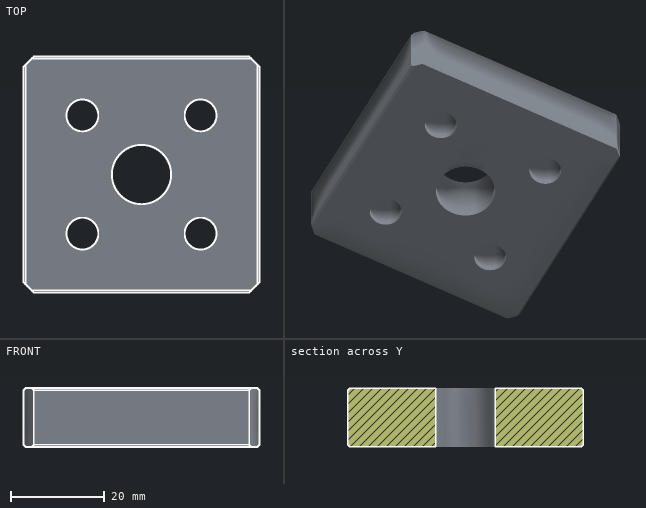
import cadquery as cq

side = 50.8
thickness = side / 4
corner_chamfer = 2.3
rim_chamfer = 0.5

center_hole_diameter = side / 4
bolt_hole_diameter = 6.8
bolt_spacing = side / 2

plate = cq.Workplane("XY").box(side, side, thickness)
plate = plate.faces("<Z or >Z").chamfer(rim_chamfer)

corner_envelope = cq.Workplane("XY").box(side, side, thickness).edges("|Z").chamfer(corner_chamfer)
plate = plate.intersect(corner_envelope)

plate = plate.faces(">Z").workplane().hole(center_hole_diameter)
result = (
    plate.faces(">Z")
    .workplane()
    .rect(bolt_spacing, bolt_spacing, forConstruction=True)
    .vertices()
    .hole(bolt_hole_diameter)
)